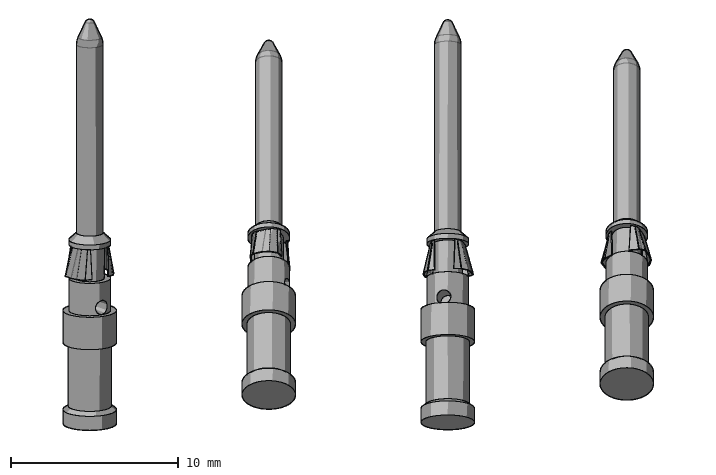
import cadquery as cq
import math

total_height = 25.0

flange_radius = 1.6
barrel_radius = 1.3
shank_radius = 1.25
neck_radius = 0.88
pin_radius = 0.8
tip_radius = 0.28

base_rim_top = 0.88
base_cone_top = 1.1
stop_flange_bottom = 5.0
stop_flange_top = 7.0
shank_top = 9.0
collar_bottom = 11.08
collar_rim_top = 11.38
collar_cone_top = 11.8
tip_cone_bottom = 23.68
dome_height = 0.18
tip_blend_radius = 1.05
blend_search_margin = 0.02

hole_radius = 0.42
hole_height = 7.45

fin_bottom = 9.22
fin_wall = 0.08
fin_overlap = 0.02

fin_top_corners = [
    (-0.85, -0.65),
    (-0.7, -0.88),
    (-0.55, -0.95),
    (-0.42, -0.98),
    (0.18, -0.98),
    (0.48, -0.95),
    (0.85, -0.78),
    (0.98, -0.65),
]
fin_bottom_corners = [
    (-0.92, -0.58),
    (-0.75, -1.18),
    (-0.68, -1.3),
    (-0.48, -1.48),
    (0.12, -1.48),
    (0.55, -1.38),
    (0.98, -1.05),
    (1.08, -0.6),
]


def turned_body():
    """Revolve the stepped profile and blend the pin into its tip cone."""
    dome_base = total_height - dome_height
    dome_sphere_radius = (tip_radius**2 + dome_height**2) / (2 * dome_height)
    dome_half_angle = math.asin(tip_radius / dome_sphere_radius) / 2
    dome_middle = (
        dome_sphere_radius * math.sin(dome_half_angle),
        total_height - dome_sphere_radius * (1 - math.cos(dome_half_angle)),
    )
    body = (
        cq.Workplane("XZ")
        .lineTo(flange_radius, 0)
        .lineTo(flange_radius, base_rim_top)
        .lineTo(barrel_radius, base_cone_top)
        .lineTo(barrel_radius, stop_flange_bottom)
        .lineTo(flange_radius, stop_flange_bottom)
        .lineTo(flange_radius, stop_flange_top)
        .lineTo(shank_radius, stop_flange_top)
        .lineTo(shank_radius, shank_top)
        .lineTo(neck_radius, shank_top)
        .lineTo(neck_radius, collar_bottom)
        .lineTo(shank_radius, collar_bottom)
        .lineTo(shank_radius, collar_rim_top)
        .lineTo(pin_radius, collar_cone_top)
        .lineTo(pin_radius, tip_cone_bottom)
        .lineTo(tip_radius, dome_base)
        .threePointArc(dome_middle, (0, total_height))
        .close()
        .revolve(360, (0, 0, 0), (0, 1, 0))
    )
    pin_edge = cq.selectors.BoxSelector(
        (-flange_radius, -flange_radius, tip_cone_bottom - blend_search_margin),
        (flange_radius, flange_radius, tip_cone_bottom + blend_search_margin),
    )
    return body.edges(pin_edge).edges("%CIRCLE").fillet(tip_blend_radius)


def wall_outline(outer_corners):
    """Close a wall outline by moving the outer corners one wall thickness towards the axis."""
    inner_corners = []
    for x, y in reversed(outer_corners):
        shrink = 1 - fin_wall / math.hypot(x, y)
        inner_corners.append((x * shrink, y * shrink))
    return outer_corners + inner_corners


def spring_fin():
    """Loft the -Y fin from its flared bottom outline up into the collar."""
    fin_height = collar_bottom + fin_overlap - fin_bottom
    return (
        cq.Workplane("XY", origin=(0, 0, fin_bottom))
        .polyline(wall_outline(fin_bottom_corners))
        .close()
        .workplane(offset=fin_height)
        .polyline(wall_outline(fin_top_corners))
        .close()
        .loft(ruled=True)
    )


def inspection_hole():
    return (
        cq.Workplane("YZ")
        .center(0, hole_height)
        .circle(hole_radius)
        .extrude(flange_radius)
    )


front_fin = spring_fin()
back_fin = front_fin.mirror("XZ")
result = turned_body().cut(inspection_hole()).union(front_fin).union(back_fin)